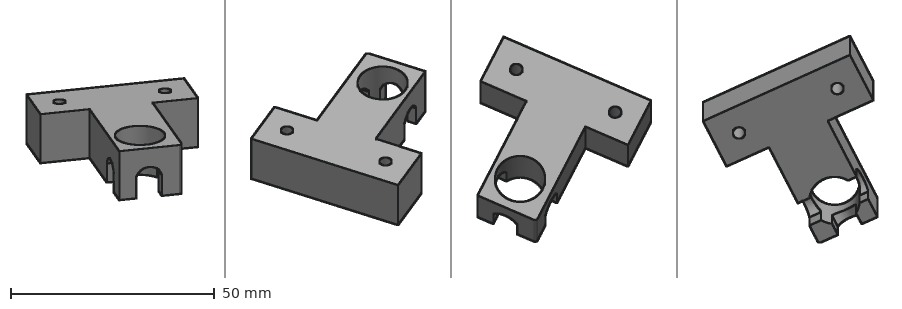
import cadquery as cq

length = 41.3
bar_width = 13.25
bar_span = 40.0
height = 13.0

arm_front = -7.55
arm_back = 8.45
arm_corner_radius = 0.7

bore_x = 32.8
bore_diameter = 12.3
slot_width = 6.5
slot_arch_rise = 2.45
front_slot_height = 7.5
rear_slot_height = 8.0

mount_diameter = 3.0
mount_spacing = 26.8


def arched_slot(depth, slot_height):
    """Arch-topped slot open at the bottom, running along -Y from the origin."""
    half_width = slot_width / 2
    spring_height = slot_height - slot_arch_rise
    return (
        cq.Workplane("XZ")
        .moveTo(-half_width, 0)
        .lineTo(-half_width, spring_height)
        .threePointArc((0, slot_height), (half_width, spring_height))
        .lineTo(half_width, 0)
        .close()
        .extrude(depth)
    )


crossbar = cq.Workplane("XY").box(bar_width, bar_span, height, centered=(False, True, False))
arm = (
    cq.Workplane("XY")
    .box(length, arm_back - arm_front, height, centered=False)
    .translate((0, arm_front, 0))
    .edges("|Z and >X and >Y")
    .fillet(arm_corner_radius)
)
body = crossbar.union(arm)

bore = cq.Workplane("XY").center(bore_x, 0).circle(bore_diameter / 2).extrude(height)

front_slot = arched_slot(-arm_front, front_slot_height).translate((bore_x, 0, 0))
rear_slot = arched_slot(arm_back, rear_slot_height).translate((bore_x, arm_back, 0))
end_slot = (
    arched_slot(length - bore_x, rear_slot_height)
    .rotate((0, 0, 0), (0, 0, 1), 90)
    .translate((bore_x, 0, 0))
)

mounts = (
    cq.Workplane("XY")
    .center(bar_width / 2, 0)
    .rarray(0.4, mount_spacing, 1, 2)
    .circle(mount_diameter / 2)
    .extrude(height)
)

result = body.cut(bore).cut(front_slot).cut(rear_slot).cut(end_slot).cut(mounts)